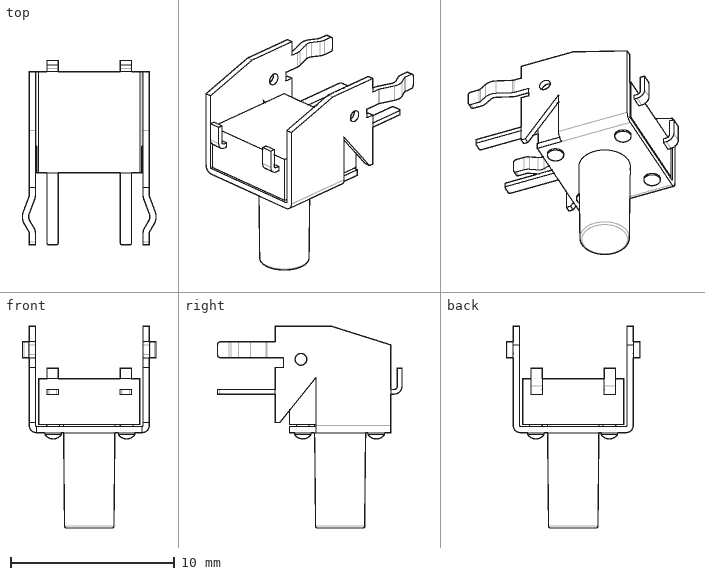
import cadquery as cq
import math


body_side = 6.2
body_bottom = 0.51
body_top = 3.32
body_half = body_side / 2

sheet = 0.4
bracket_half = 3.68
bend_radius = 0.46
inner_bend_radius = bend_radius - sheet
base_half = bracket_half - bend_radius

wall_top = 6.52
wall_back_top = 5.38
slope_end_y = -0.51
wall_front = -3.98
notch_back = -1.48
notch_apex = 3.38
notch_front = -3.69
spur_bottom = 0.62
wall_hole_dia = 0.7
wall_hole_y = -2.4
wall_hole_z = 4.5

leg_bottom = 4.58
leg_height = 1.0
leg_tip = -7.51
leg_tip_fillet = 0.2
leg_bend_start = -4.51
leg_apex_y = -5.87
leg_bend_end = -6.73
leg_bulge = 0.51
leg_apex_radius = 0.86
leg_root_radius = 0.25
relief_depth = 0.51
relief_bottom = 4.0

pin_pitch = 4.5
pin_width = 0.7
pin_thickness = 0.3
pin_bottom = 2.36
pin_back = 3.79
pin_top = 3.96
pin_inner_radius = 0.2
pin_tip_fillet = 0.12

button_root_radius = 1.58
button_tip_radius = 1.52
button_tip = -5.83
button_fillet = 0.12

rivet_shift = 0.04
rivet_post_radius = 0.4
rivet_head_radius = 0.51
rivet_rim = 0.11
rivet_height = 0.38


def make_body():
    height = body_top - body_bottom
    return cq.Workplane("XY").workplane(offset=body_bottom).rect(body_side, body_side).extrude(height)


def make_channel():
    """U-shaped bent sheet running along Y, as long as the side walls."""
    def u_outline(half_width, bottom, radius):
        height = wall_top - bottom
        block = cq.Workplane("XY").box(
            2 * half_width, body_half - wall_front, height, centered=(True, False, False)
        )
        return block.translate((0, wall_front, bottom)).edges("|Y and <Z").fillet(radius)

    outer = u_outline(bracket_half, 0, bend_radius)
    inner = u_outline(bracket_half - sheet, sheet, inner_bend_radius)
    return outer.cut(inner)


def make_wall_profile():
    """Side outline of the walls, with the wedge notch, extruded across the whole bracket."""
    outline = [
        (body_half, 0),
        (body_half, wall_back_top),
        (slope_end_y, wall_top),
        (wall_front, wall_top),
        (wall_front, leg_bottom),
        (wall_front + relief_depth, leg_bottom),
        (wall_front + relief_depth, relief_bottom),
        (wall_front, relief_bottom),
        (wall_front, spur_bottom),
        (notch_front, spur_bottom),
        (notch_back, notch_apex),
        (notch_back, 0),
    ]
    return (
        cq.Workplane("YZ").polyline(outline).close()
        .extrude(bracket_half, both=True)
    )


def make_base():
    """Flat base that continues below the wedge notches to the front of the body."""
    return cq.Workplane("XY").rect(2 * base_half, body_side).extrude(sheet)


def make_bracket():
    walls = make_channel().intersect(make_wall_profile())
    holes = (
        cq.Workplane("YZ").center(wall_hole_y, wall_hole_z).circle(wall_hole_dia / 2)
        .extrude(bracket_half, both=True)
    )
    return walls.cut(holes).union(make_base())


def make_leg():
    """Snap leg on the +X wall: the sheet bulges outward, then returns to the wall plane."""
    out_angle = math.atan2(leg_bulge, leg_bend_start - leg_apex_y)
    back_angle = math.atan2(leg_bulge, leg_apex_y - leg_bend_end)
    apex_tilt = (out_angle - back_angle) / 2
    apex_mitre = sheet / math.cos((out_angle + back_angle) / 2)

    outer_x = bracket_half
    inner_x = bracket_half - sheet
    outer_start = (outer_x, leg_bend_start)
    outer_apex = (outer_x + leg_bulge, leg_apex_y)
    outer_end = (outer_x, leg_bend_end)
    inner_start = (inner_x, leg_bend_start - sheet * math.tan(out_angle / 2))
    inner_apex = (
        outer_apex[0] - apex_mitre * math.cos(apex_tilt),
        outer_apex[1] - apex_mitre * math.sin(apex_tilt),
    )
    inner_end = (inner_x, leg_bend_end + sheet * math.tan(back_angle / 2))
    outline = [
        (outer_x, wall_front),
        outer_start,
        outer_apex,
        outer_end,
        (outer_x, leg_tip),
        (inner_x, leg_tip),
        inner_end,
        inner_apex,
        inner_start,
        (inner_x, wall_front),
    ]
    leg = cq.Workplane("XY").workplane(offset=leg_bottom).polyline(outline).close().extrude(leg_height)

    middle_z = leg_bottom + leg_height / 2
    bends = [
        (outer_apex, leg_apex_radius),
        (inner_apex, leg_apex_radius - sheet),
        (outer_start, leg_root_radius),
        (inner_start, leg_root_radius + sheet),
        (outer_end, leg_root_radius),
        (inner_end, leg_root_radius + sheet),
    ]
    for corner, radius in bends:
        leg = leg.edges(cq.NearestToPointSelector((*corner, middle_z))).fillet(radius)
    return leg.edges("|X and <Y").fillet(leg_tip_fillet)


def make_pin():
    """Flat pin through the body: straight at the front, bent upward behind the body."""
    length = pin_back - leg_tip
    strip = cq.Workplane("XY").box(pin_width, length, pin_thickness, centered=(True, False, False))
    strip = strip.translate((0, leg_tip, pin_bottom)).edges("|Z and <Y").fillet(pin_tip_fillet)
    upright = (
        cq.Workplane("XY").box(pin_width, pin_thickness, pin_top - pin_bottom, centered=(True, False, False))
        .translate((0, pin_back - pin_thickness, pin_bottom))
    )
    inner_corner = (0, pin_back - pin_thickness, pin_bottom + pin_thickness)
    outer_corner = (0, pin_back, pin_bottom)
    pin = strip.union(upright)
    pin = pin.edges(cq.NearestToPointSelector(inner_corner)).fillet(pin_inner_radius)
    return pin.edges(cq.NearestToPointSelector(outer_corner)).fillet(pin_inner_radius + pin_thickness)


def make_button():
    """Slightly tapered round button hanging from the underside of the body."""
    outline = [
        (0, body_bottom),
        (button_root_radius, body_bottom),
        (button_tip_radius, button_tip),
        (0, button_tip),
    ]
    button = cq.Workplane("XZ").polyline(outline).close().revolve()
    return button.faces("<Z").edges().fillet(button_fillet)


def make_rivet():
    """Post from the body through the base, ending in a domed head below it."""
    dome_height = rivet_height - rivet_rim
    dome_radius = (rivet_head_radius**2 + dome_height**2) / (2 * dome_height)
    half_angle = math.asin(rivet_head_radius / dome_radius) / 2
    dome_middle = (
        dome_radius * math.sin(half_angle),
        -rivet_height + dome_radius * (1 - math.cos(half_angle)),
    )
    return (
        cq.Workplane("XZ")
        .moveTo(0, body_bottom)
        .lineTo(rivet_post_radius, body_bottom)
        .lineTo(rivet_post_radius, 0)
        .lineTo(rivet_head_radius, 0)
        .lineTo(rivet_head_radius, -rivet_rim)
        .threePointArc(dome_middle, (0, -rivet_height))
        .close()
        .revolve()
    )


leg = make_leg()
result = make_body().union(make_bracket()).union(make_button())
result = result.union(leg).union(leg.mirror("YZ"))

for side in (-1, 1):
    x = side * pin_pitch / 2
    result = result.union(make_pin().translate((x, 0, 0)))
    for end in (-1, 1):
        y = end * pin_pitch / 2
        result = result.union(make_rivet().translate((x + rivet_shift, y - rivet_shift, 0)))